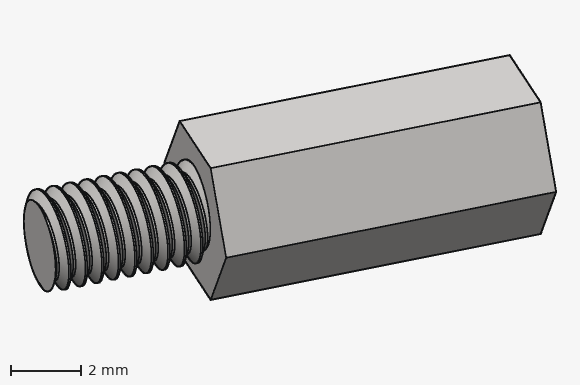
import cadquery as cq
import math

total_length = 14.7
across_flats = 4.5
body_length = 10.0
across_corners = across_flats / math.cos(math.pi / 6)

stud_length = total_length - body_length
root_diameter = 2.35
crest_diameter = 2.97
pitch = 0.5
crest_width = 0.06
root_width = 0.43
crest_offset = 0.34
root_overlap = 0.05

end_margin = 4 * pitch

stud_frame = cq.Plane(origin=(0, 0, 0), xDir=(1, 0, 0), normal=(0, -1, 0))


def hex_body():
    return cq.Workplane(stud_frame).polygon(6, across_corners).extrude(-body_length)


def thread_ridge():
    """Right-hand ridge that runs past both ends of the stud."""
    root_radius = root_diameter / 2
    crest_radius = crest_diameter / 2
    flank_slope = (root_width - crest_width) / 2 / (crest_radius - root_radius)
    base_radius = root_radius - root_overlap
    base_half_width = root_width / 2 + flank_slope * root_overlap

    start = crest_offset - 2 * pitch
    turns = math.ceil((stud_length - start) / pitch) + 1
    helix = cq.Wire.makeHelix(pitch, turns * pitch, root_radius)
    return (
        cq.Workplane("XZ")
        .polyline([
            (base_radius, -base_half_width),
            (crest_radius, -crest_width / 2),
            (crest_radius, crest_width / 2),
            (base_radius, base_half_width),
        ])
        .close()
        .sweep(cq.Workplane(obj=helix), isFrenet=True)
        .translate((0, 0, start))
    )


def threaded_stud():
    core_length = stud_length + 2 * end_margin
    core = cq.Workplane("XY", origin=(0, 0, -end_margin)).circle(root_diameter / 2).extrude(core_length)
    trim = cq.Workplane("XY").circle(crest_diameter).extrude(stud_length)
    stud = core.union(thread_ridge()).intersect(trim)
    return cq.Workplane(stud.val().moved(cq.Location(stud_frame)))


result = hex_body().union(threaded_stud())